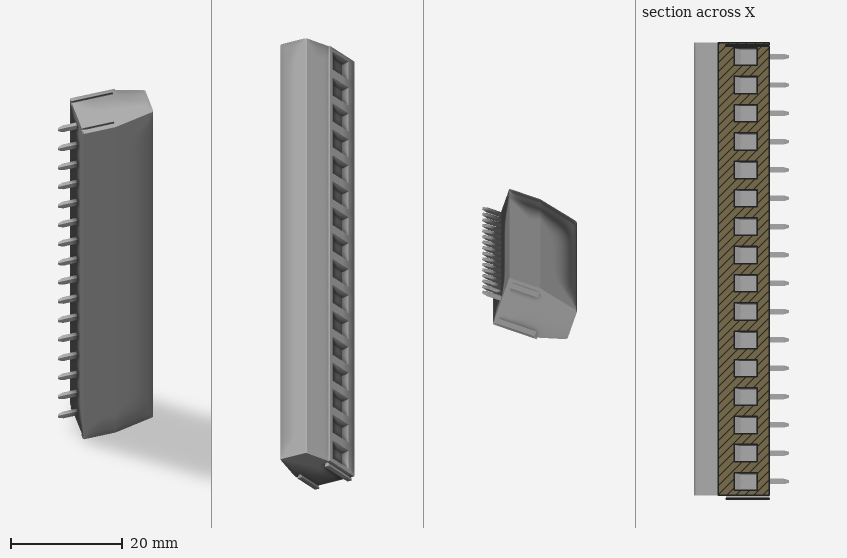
import cadquery as cq

length = 81.9
poles = 16
pitch = 5.1
body_length = poles * pitch
width = 9.0
body_height = 13.5
dovetail_height = length - body_length

wire_side_height = 8.35
wire_side_ledge = 0.3
back_side_height = 5.9
top_left = 1.8
top_right = 7.3
top_chamfer = 0.25

dovetail_neck = 0.5
dovetail_tip = 1.0
wire_side_inset = 1.0
back_side_inset = 1.15
wire_side_dovetail = 7.8
back_side_dovetail = 6.0

opening_bottom = 2.0
opening_top = 7.45
opening_height = 3.5
floor_bottom = 2.4
floor_top = 5.15
floor_height = 2.5
opening_depth = 1.15

pin_length = 3.5
pin_tip_length = 0.9
pin_width = 0.7
pin_thickness = 1.0
pin_end_width = 0.4
pin_end_thickness = 0.5

pole_positions = [dovetail_height + (i + 0.5) * pitch for i in range(poles)]


def housing():
    """Extruded housing with both upper flanks sloping in to a narrow, chamfered top."""
    outline = [
        (0, 0),
        (width, 0),
        (width, back_side_height),
        (top_right, body_height),
        (top_left, body_height),
        (wire_side_ledge, wire_side_height),
        (0, wire_side_height),
    ]
    body = cq.Workplane("XY", origin=(0, 0, dovetail_height)).polyline(outline).close().extrude(body_length)
    return body.edges("|Z").edges(">Y").chamfer(top_chamfer)


def dovetail(center_x, height, base_z, tip_z):
    """Bar along Y, narrow at base_z and wide at tip_z."""
    profile = [
        (center_x - dovetail_neck / 2, base_z),
        (center_x + dovetail_neck / 2, base_z),
        (center_x + dovetail_tip / 2, tip_z),
        (center_x - dovetail_tip / 2, tip_z),
    ]
    return cq.Workplane("XZ").polyline(profile).close().extrude(-height)


def wire_opening(center_z):
    """Funnel that narrows from the -X face to a smaller flat floor."""
    opening_center = (opening_bottom + opening_top) / 2
    floor_center = (floor_bottom + floor_top) / 2
    return (
        cq.Workplane("YZ", origin=(0, opening_center, center_z))
        .rect(opening_top - opening_bottom, opening_height)
        .workplane(offset=opening_depth)
        .center(floor_center - opening_center, 0)
        .rect(floor_top - floor_bottom, floor_height)
        .loft()
    )


def pin(center_z):
    """Rectangular pin pointing to -Y with a tapered tip."""
    shank_length = pin_length - pin_tip_length
    shank = (
        cq.Workplane("XZ", origin=(width / 2, 0, center_z))
        .rect(pin_width, pin_thickness)
        .extrude(shank_length)
    )
    tip = (
        cq.Workplane("XZ", origin=(width / 2, -shank_length, center_z))
        .rect(pin_width, pin_thickness)
        .workplane(offset=pin_tip_length)
        .rect(pin_end_width, pin_end_thickness)
        .loft()
    )
    return shank.union(tip)


result = housing()

for center_x, height in (
    (wire_side_inset, wire_side_dovetail),
    (width - back_side_inset, back_side_dovetail),
):
    tongue = dovetail(center_x, height, dovetail_height, 0)
    groove = dovetail(center_x, height, length, length - dovetail_height)
    result = result.union(tongue).cut(groove)

for center_z in pole_positions:
    result = result.cut(wire_opening(center_z)).union(pin(center_z))